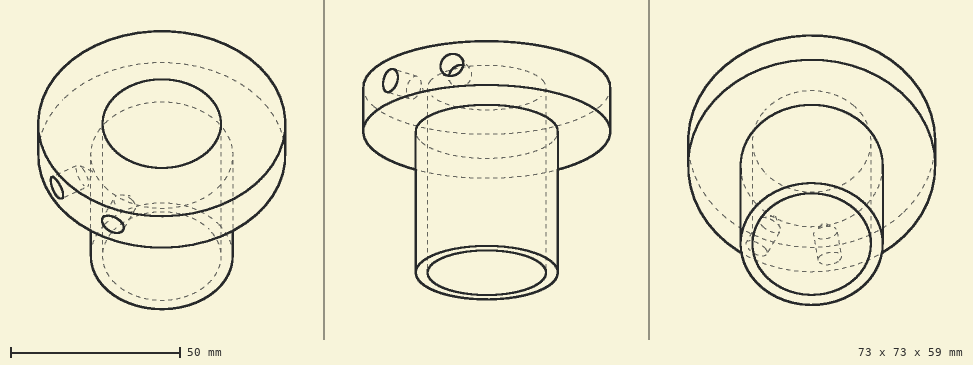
import cadquery as cq
import math

flange_diameter = 73.0
flange_thickness = 14.0
sleeve_diameter = 42.0
bore_diameter = 35.0
total_height = 59.0
sleeve_length = total_height - flange_thickness

hole_diameter = 7.0
hole_depth = 9.0
hole_cone_angle = 90.0
hole_directions = (-80.0, -45.0)
hole_height = sleeve_length + flange_thickness / 2


def make_hole_cutter(direction):
    """Radial cutter at mid-flange height, its cone pointing towards the bore."""
    hole_radius = hole_diameter / 2
    cone_length = hole_radius / math.tan(math.radians(hole_cone_angle / 2))
    rim_radius = flange_diameter / 2
    bottom_x = rim_radius - hole_depth
    outer_x = rim_radius + hole_radius
    return (
        cq.Workplane("XY")
        .moveTo(bottom_x - cone_length, 0)
        .lineTo(bottom_x, hole_radius)
        .lineTo(outer_x, hole_radius)
        .lineTo(outer_x, 0)
        .close()
        .revolve(360, (0, 0, 0), (1, 0, 0))
        .translate((0, 0, hole_height))
        .rotate((0, 0, 0), (0, 0, 1), direction)
    )


def make_flanged_bushing():
    """Sleeve with a flange on top, a through bore and radial holes in the rim."""
    sleeve = cq.Workplane("XY").circle(sleeve_diameter / 2).extrude(sleeve_length)
    bushing = (
        sleeve.faces(">Z")
        .workplane()
        .circle(flange_diameter / 2)
        .extrude(flange_thickness)
    )
    bore = cq.Workplane("XY").circle(bore_diameter / 2).extrude(total_height)
    bushing = bushing.cut(bore)
    for direction in hole_directions:
        bushing = bushing.cut(make_hole_cutter(direction))
    return bushing


flanged_bushing = make_flanged_bushing()

result = cq.Compound.makeCompound([flanged_bushing.solids().val()])